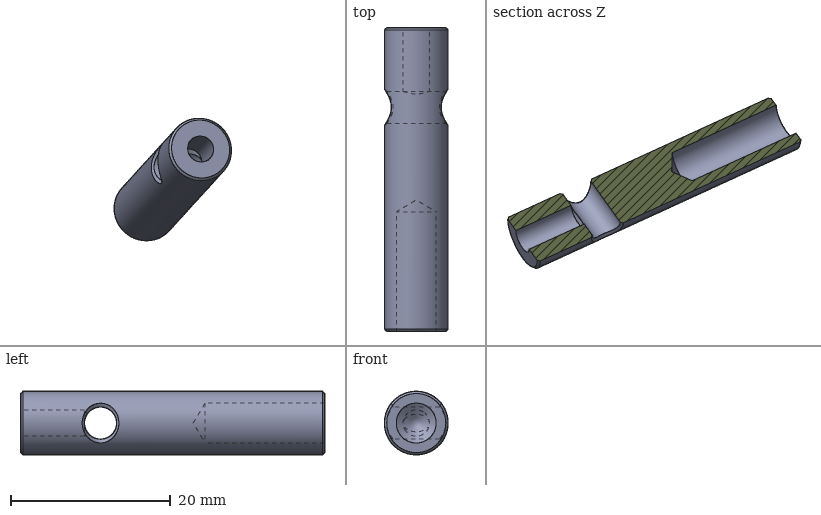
import cadquery as cq
import math

pin_diameter = 8.0
pin_length = 38.1
end_chamfer = 0.3
pin_radius = pin_diameter / 2

cross_hole_diameter = 4.0
cross_hole_from_rear = 10.0
mouth_chamfer = 0.3
cross_hole_radius = cross_hole_diameter / 2
cross_hole_y = pin_length - cross_hole_from_rear

drill_point_angle = 118.0
front_bore_diameter = 5.0
front_bore_depth = 15.0
rear_bore_diameter = 3.3
rear_bore_depth = 8.0

chamfer_overshoot = 0.5
rim_points = 48


def make_pin():
    pin = cq.Workplane("XZ").circle(pin_radius).extrude(-pin_length)
    return pin.faces("<Y or >Y").edges().chamfer(end_chamfer)


def make_cross_hole():
    return (
        cq.Workplane("YZ")
        .center(cross_hole_y, 0)
        .circle(cross_hole_radius)
        .extrude(pin_diameter, both=True)
    )


def chamfer_point(angle, position):
    """Point on the chamfer face: position 0 is on the hole wall, 1 on the pin surface.

    Both chamfer edges are square to a curve lying one chamfer size inside
    the pin surface and one chamfer size outside the hole wall.
    """
    offset_hole_radius = cross_hole_radius + mouth_chamfer
    offset_pin_radius = pin_radius - mouth_chamfer
    offset_z = offset_hole_radius * math.sin(angle)
    offset_x = math.sqrt(offset_pin_radius**2 - offset_z**2)

    pin_ratio = pin_radius / offset_pin_radius
    on_hole = cq.Vector(
        offset_x,
        cross_hole_radius * math.cos(angle),
        cross_hole_radius * math.sin(angle),
    )
    on_pin = cq.Vector(
        offset_x * pin_ratio,
        offset_hole_radius * math.cos(angle),
        offset_z * pin_ratio,
    )
    return on_hole + (on_pin - on_hole) * position


def smooth_loop(points):
    return cq.Wire.assembleEdges([cq.Edge.makeSpline(points, periodic=True)])


def make_mouth_cutter():
    """Ruled plug for the +X mouth, with flat ends on the pin axis and outside the pin."""
    angles = [2 * math.pi * i / rim_points for i in range(rim_points)]
    inner = [chamfer_point(angle, -chamfer_overshoot) for angle in angles]
    outer = [chamfer_point(angle, 1 + chamfer_overshoot) for angle in angles]
    inner_end = [cq.Vector(0, point.y, point.z) for point in inner]
    outer_end = [cq.Vector(pin_diameter, point.y, point.z) for point in outer]
    loops = [smooth_loop(points) for points in (inner_end, inner, outer, outer_end)]
    plug = cq.Solid.makeLoft(loops, ruled=True)
    return cq.Workplane(plug).translate((0, cross_hole_y, 0))


def make_bore(diameter, depth):
    """Drilled bore running from Y = 0 toward +Y; its point lies beyond the given depth."""
    radius = diameter / 2
    point_height = radius / math.tan(math.radians(drill_point_angle / 2))
    return (
        cq.Workplane("XY")
        .lineTo(radius, 0)
        .lineTo(radius, depth)
        .lineTo(0, depth + point_height)
        .close()
        .revolve(360, (0, 0, 0), (0, 1, 0))
    )


mouth_cutter = make_mouth_cutter()
front_bore = make_bore(front_bore_diameter, front_bore_depth)
rear_bore = make_bore(rear_bore_diameter, rear_bore_depth).mirror("XZ").translate((0, pin_length, 0))

result = (
    make_pin()
    .cut(make_cross_hole())
    .cut(mouth_cutter)
    .cut(mouth_cutter.mirror("YZ"))
    .cut(front_bore)
    .cut(rear_bore)
    .solids()
)